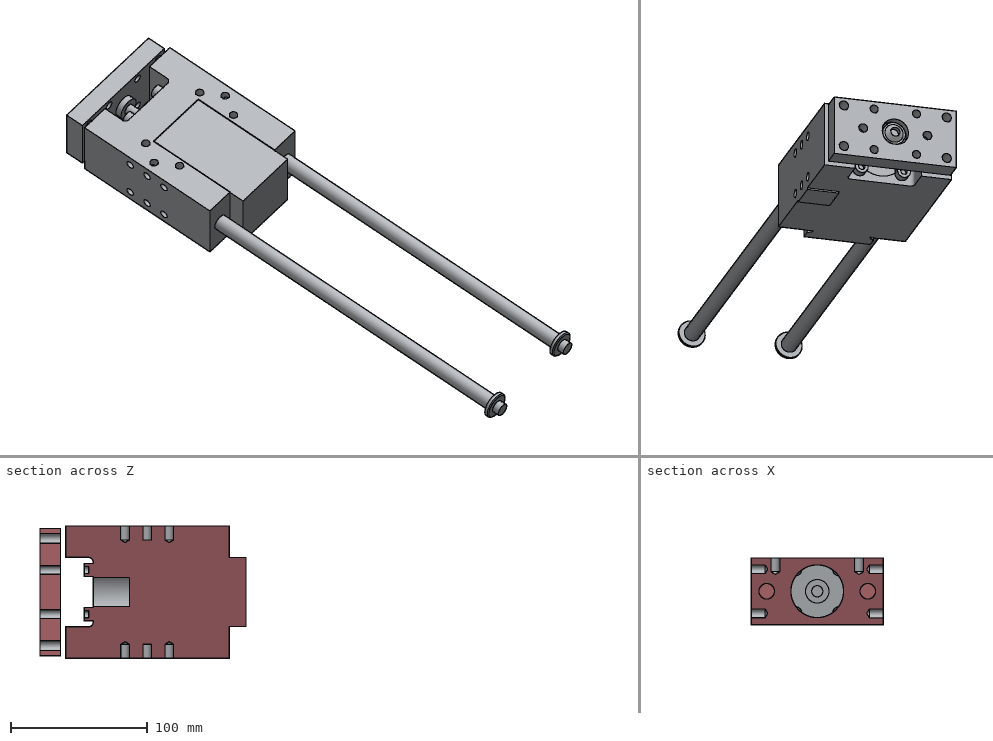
import cadquery as cq
import math


total_length = 409.0
plate_thickness = 15.0
housing_front = 19.0
housing_length = 120.0
housing_rear = housing_front + housing_length

rod_diameter = 12.0
rod_spacing = 74.0
rod_offset = rod_spacing / 2
rod_tip_diameter = 10.0
stop_diameter = 20.0
stop_thickness = 3.3
stop_front = 400.5
stop_chamfer = 1.0

plate_width = 93.3
plate_height = 45.0
plate_drop = 0.5
plate_recess_diameter = 20.0
plate_recess_depth = 6.0
corner_hole_diameter = 7.0
corner_hole_offset = 39.3
middle_hole_diameter = 6.5
middle_hole_offset = 24.5
middle_hole_depth = 10.2
access_hole_diameter = 6.0

collar_diameter = 17.0
collar_front = 3.3
collar_rear = 20.0
cone_base_diameter = 14.0
socket_diameter = 7.0
socket_depth = 4.0
stud_diameter = 8.0
stud_rear = 30.0

housing_width = 97.0
housing_height = 49.0
channel_width = 50.7
slot_rear = 39.0
slot_corner_radius = 3.3
block_front = 65.5
block_rear = 151.0
block_step = 1.0
bore_diameter = 38.5

pattern_spacing = 32.5
pattern_offset = pattern_spacing / 2
fastening_hole_diameter = 6.0
fastening_hole_depth = 10.2
drill_point_angle = 118.0
pin_hole_diameter = 6.0
pin_hole_depth = 10.2

hole_group_x = 78.5
top_thread_offset = 30.5
top_pin_offset = 40.5

screw_head_diameter = 10.0
screw_head_front = 32.5
screw_socket_diameter = 5.0
screw_socket_depth = 3.3

pad_length = 24.0
pad_width = 24.0
pad_front = 63.5
pad_thickness = 1.2
notch_diameter = 7.0
notch_height = 6.0

SIGNS = (-1, 1)
ALONG_X = cq.Vector(1, 0, 0)


def x_cylinder(diameter, x_start, x_end, y=0.0, z=0.0):
    """Round bar parallel to X."""
    start = cq.Vector(x_start, y, z)
    return cq.Workplane(cq.Solid.makeCylinder(diameter / 2, x_end - x_start, start, ALONG_X))


def box(x_start, x_end, width, z_bottom, z_top, y=0.0):
    """Block centred on the given Y."""
    size_x = x_end - x_start
    size_z = z_top - z_bottom
    corner = cq.Vector(x_start, y - width / 2, z_bottom)
    return cq.Workplane(cq.Solid.makeBox(size_x, width, size_z, corner))


def blind_hole(diameter, depth, mouth, direction):
    """Flat-bottomed hole cutter that starts at its mouth."""
    return cq.Workplane(cq.Solid.makeCylinder(diameter / 2, depth, cq.Vector(*mouth), cq.Vector(*direction)))


def drilled_hole(mouth, direction):
    """Fastening hole cutter with a conical drill point at its bottom."""
    radius = fastening_hole_diameter / 2
    point_length = radius / math.tan(math.radians(drill_point_angle / 2))
    bottom = cq.Vector(*mouth) + cq.Vector(*direction) * fastening_hole_depth
    point = cq.Solid.makeCone(radius, 0, point_length, bottom, cq.Vector(*direction))
    return blind_hole(fastening_hole_diameter, fastening_hole_depth, mouth, direction).union(point)


def make_coupling():
    """Collar with a conical front and socket, and the stud behind it."""
    cone = cq.Solid.makeCone(
        cone_base_diameter / 2, socket_diameter / 2, collar_front, cq.Vector(collar_front, 0, 0), -ALONG_X
    )
    coupling = x_cylinder(collar_diameter, collar_front, collar_rear)
    coupling = coupling.union(x_cylinder(stud_diameter, collar_rear, stud_rear)).union(cone)
    return coupling.cut(x_cylinder(socket_diameter, 0, socket_depth))


def make_rod(y):
    """Guide rod reaching from the plate to the tip, with its end stop."""
    stop = x_cylinder(stop_diameter, stop_front, stop_front + stop_thickness, y)
    stop = stop.faces(">X").chamfer(stop_chamfer)
    rod = x_cylinder(rod_diameter, plate_thickness, stop_front, y)
    tip = x_cylinder(rod_tip_diameter, stop_front, total_length, y)
    return rod.union(stop).union(tip)


def make_slide():
    """Moving body: front plate, coupling, both rods and their end stops."""
    plate_top = plate_height / 2 - plate_drop
    slide = box(0, plate_thickness, plate_width, plate_top - plate_height, plate_top)
    slide = slide.cut(x_cylinder(plate_recess_diameter, 0, plate_recess_depth))
    for y_sign in SIGNS:
        middle_mouth = (0, y_sign * middle_hole_offset, 0)
        slide = slide.cut(blind_hole(middle_hole_diameter, middle_hole_depth, middle_mouth, ALONG_X.toTuple()))
        for z_sign in SIGNS:
            z = z_sign * pattern_offset
            corner_y = y_sign * corner_hole_offset
            access_y = y_sign * pattern_offset
            slide = slide.cut(x_cylinder(corner_hole_diameter, 0, plate_thickness, corner_y, z))
            slide = slide.cut(x_cylinder(access_hole_diameter, 0, plate_thickness, access_y, z))
    slide = slide.union(make_coupling())
    for y_sign in SIGNS:
        slide = slide.union(make_rod(y_sign * rod_offset))
    return slide


def make_rear_block():
    """Block that projects behind the housing, with a quarter-round notch at the bottom of each side."""
    bottom = -housing_height / 2
    block = box(block_front, block_rear, channel_width, bottom, housing_height / 2 - block_step)
    for y_sign in SIGNS:
        base = cq.Vector(housing_rear, y_sign * channel_width / 2, bottom)
        block = block.cut(cq.Workplane(cq.Solid.makeCylinder(notch_diameter / 2, notch_height, base)))
    return block


def make_housing_block():
    """Housing with the front slot, the stepped rear block, the cylinder bore and the rod bores."""
    top = housing_height / 2
    slot = box(housing_front, slot_rear, channel_width, -top, top)
    slot = slot.edges("|Z and >X").fillet(slot_corner_radius)
    step = box(block_front, housing_rear, channel_width, top - block_step, top)

    body = box(housing_front, housing_rear, housing_width, -top, top)
    body = body.cut(slot).cut(step).union(make_rear_block())
    body = body.cut(x_cylinder(bore_diameter, slot_rear, block_front))
    for y_sign in SIGNS:
        body = body.cut(x_cylinder(rod_diameter, housing_front, housing_rear, y_sign * rod_offset))
    return body


def cut_side_holes(body):
    """Two rows of three holes in each long side."""
    for y_sign in SIGNS:
        direction = (0, -y_sign, 0)
        for z_sign in SIGNS:
            y = y_sign * housing_width / 2
            z = z_sign * pattern_offset
            body = body.cut(blind_hole(pin_hole_diameter, pin_hole_depth, (hole_group_x, y, z), direction))
            for x_sign in SIGNS:
                x = hole_group_x + x_sign * pattern_offset
                body = body.cut(drilled_hole((x, y, z), direction))
    return body


def cut_top_holes(body):
    """Three holes in the top face on either side of the rear block."""
    top = housing_height / 2
    down = (0, 0, -1)
    for y_sign in SIGNS:
        pin_mouth = (hole_group_x, y_sign * top_pin_offset, top)
        body = body.cut(blind_hole(pin_hole_diameter, pin_hole_depth, pin_mouth, down))
        for x_sign in SIGNS:
            x = hole_group_x + x_sign * pattern_offset
            body = body.cut(drilled_hole((x, y_sign * top_thread_offset, top), down))
    return body


def make_screw_head(y, z):
    """Cap screw head standing on the rear wall of the slot."""
    head = x_cylinder(screw_head_diameter, screw_head_front, slot_rear, y, z)
    socket_end = screw_head_front + screw_socket_depth
    return head.cut(x_cylinder(screw_socket_diameter, screw_head_front, socket_end, y, z))


def make_pad():
    """Square pad under the housing, flush with its +Y side."""
    bottom = -housing_height / 2
    pad_y = (housing_width - pad_width) / 2
    return box(pad_front, pad_front + pad_length, pad_width, bottom - pad_thickness, bottom, pad_y)


def make_housing():
    """Fixed body: housing block with its holes, screw heads and pad."""
    body = cut_top_holes(cut_side_holes(make_housing_block()))
    for y_sign in SIGNS:
        for z_sign in SIGNS:
            body = body.union(make_screw_head(y_sign * pattern_offset, z_sign * pattern_offset))
    return body.union(make_pad())


slide = make_slide()
housing = make_housing()
result = cq.Compound.makeCompound([slide.val(), housing.val()])